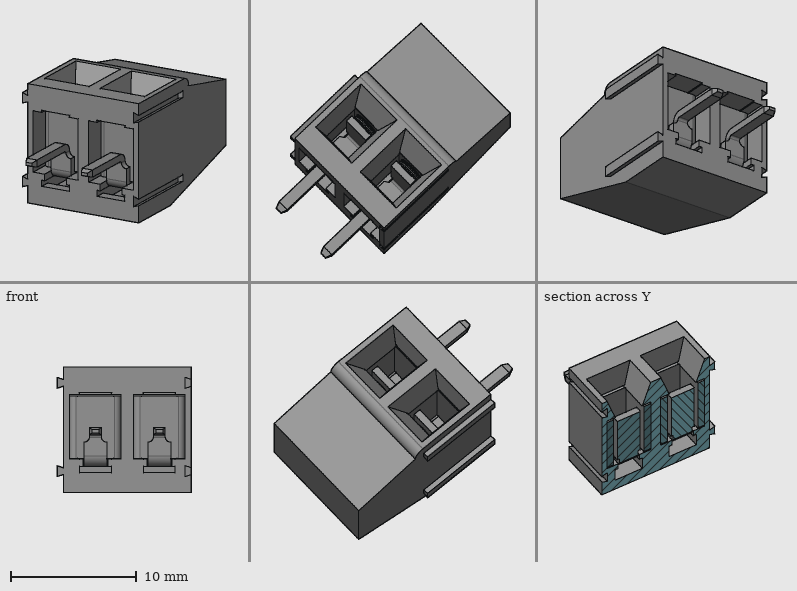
import cadquery as cq


OVERALL_DEPTH = 18.28

POLE_PITCH = 5.08
POLE_COUNT = 2
HOUSING_WIDTH = POLE_COUNT * POLE_PITCH
HOUSING_DEPTH = 14.0
HOUSING_HEIGHT = 10.0
BACK_BOTTOM_Z = 2.49
BACK_TOP_Z = 8.0
UNDERSIDE_FLAT_DEPTH = 5.06
BROW_RADIUS = 0.8
BROW_BACK_Y = 8.0

DOVETAIL_DEPTH = 0.5
DOVETAIL_LENGTH = 7.13
DOVETAIL_OUTER_HEIGHT = 0.88
DOVETAIL_ROOT_HEIGHT = 0.55
DOVETAIL_HEIGHTS = (1.72, 8.74)

CAGE_WIDTH = 4.1
CAGE_FRONT_Y = 1.59
CAGE_BOTTOM_Z = 2.72
CAGE_TOP_Z = 7.68
CAGE_WALL = 0.62
CAGE_INNER_DEPTH = 3.33
CAGE_EDGE_RADIUS = 0.51
CAGE_DEPTH = CAGE_INNER_DEPTH + 2 * CAGE_WALL
CAGE_BACK_Y = CAGE_FRONT_Y + CAGE_DEPTH

POCKET_FLOOR_Z = 2.67
POCKET_TOP_Z = 7.8
ROOF_GROOVE_DEPTH = 0.16
ROOF_GROOVE_LENGTH = 5.95
ROOF_GROOVE_TOP_Z = POCKET_TOP_Z + ROOF_GROOVE_DEPTH

FUNNEL_TOP_WIDTH = CAGE_WIDTH
FUNNEL_THROAT_WIDTH = 2.49
FUNNEL_TOP_FRONT_Y = 1.83
FUNNEL_TOP_BACK_Y = 6.85
FUNNEL_THROAT_FRONT_Y = 2.21
FUNNEL_THROAT_BACK_Y = 5.45
FUNNEL_SIDE_SLOPE = (FUNNEL_TOP_WIDTH - FUNNEL_THROAT_WIDTH) / (HOUSING_HEIGHT - POCKET_TOP_Z)
ROOF_GROOVE_TOP_WIDTH = FUNNEL_THROAT_WIDTH + FUNNEL_SIDE_SLOPE * ROOF_GROOVE_DEPTH

STRIP_THICKNESS = 0.6
BEND_INNER_RADIUS = 0.2
BEND_OUTER_RADIUS = BEND_INNER_RADIUS + STRIP_THICKNESS
STRIP_WIDTH = 1.83
PLATE_FRONT_Y = 0.86
PLATE_BACK_Y = PLATE_FRONT_Y + STRIP_THICKNESS
SHOULDER_Z = 4.02
LEG_BOTTOM_Z = 2.1
LEG_TOP_Z = LEG_BOTTOM_Z + STRIP_THICKNESS
LEG_PAD_WIDTH = 2.52
LEG_PAD_START_Y = 1.74
LEG_PAD_END_Y = 3.95
LEG_PAD_CORNER_LENGTH = 0.24
CONTACT_WIDTH = 2.2
CONTACT_BACK_Y = 4.92
CONTACT_FRONT_Y = CONTACT_BACK_Y - STRIP_THICKNESS
CONTACT_TOP_Z = 7.31
CONTACT_BOTTOM_Z = 3.1
PIN_WIDTH = 0.93
PIN_TOP_Z = 5.2
PIN_BOTTOM_Z = PIN_TOP_Z - STRIP_THICKNESS
PIN_TIP_Y = HOUSING_DEPTH - OVERALL_DEPTH
PIN_TAPER_LENGTH = 0.5
PIN_TAPER_START_Y = PIN_TIP_Y + PIN_TAPER_LENGTH
PIN_TIP_WIDTH = 0.55
PIN_TIP_THICKNESS = 0.27

NECK_WIDTH = 2.0
CHAMBER_WIDTH = LEG_PAD_WIDTH
CHAMBER_TOP_Z = LEG_BOTTOM_Z
CHAMBER_MOUTH_Z = 1.6
CHAMBER_MOUTH_DEPTH = 0.95
CHAMBER_BOTTOM_Z = 1.02

SCREW_RADIUS = 1.17
SCREW_AXIS_Z = (CAGE_BOTTOM_Z + CAGE_TOP_Z) / 2
THREAD_PITCH = 0.22
THREAD_DEPTH = 0.07
SCREW_LENGTH = CAGE_BACK_Y - CONTACT_BACK_Y


def block(width, y_range, z_range):
    """Box centred on the pole in X, between two Y and two Z positions."""
    y_start, y_end = y_range
    z_start, z_end = z_range
    box = cq.Workplane("XY").box(width, y_end - y_start, z_end - z_start, centered=(True, False, False))
    return box.translate((0, y_start, z_start))


def housing_blank():
    """Side outline swept across the whole width."""
    brow_centre_y = BROW_BACK_Y - BROW_RADIUS
    brow_bottom_z = HOUSING_HEIGHT - BROW_RADIUS
    outline = (
        cq.Workplane("YZ")
        .moveTo(0, 0)
        .lineTo(UNDERSIDE_FLAT_DEPTH, 0)
        .lineTo(HOUSING_DEPTH, BACK_BOTTOM_Z)
        .lineTo(HOUSING_DEPTH, BACK_TOP_Z)
        .lineTo(BROW_BACK_Y, brow_bottom_z)
        .radiusArc((brow_centre_y, HOUSING_HEIGHT), -BROW_RADIUS)
        .lineTo(0, HOUSING_HEIGHT)
        .close()
    )
    return outline.extrude(HOUSING_WIDTH / 2, both=True)


def dovetail(side_x, centre_z):
    """Bar that starts on a side face at side_x and widens toward -X."""
    half_root = DOVETAIL_ROOT_HEIGHT / 2
    half_outer = DOVETAIL_OUTER_HEIGHT / 2
    outer_x = side_x - DOVETAIL_DEPTH
    section = [
        (side_x, centre_z - half_root),
        (side_x, centre_z + half_root),
        (outer_x, centre_z + half_outer),
        (outer_x, centre_z - half_outer),
    ]
    return cq.Workplane("XZ").polyline(section).close().extrude(-DOVETAIL_LENGTH)


def wire_funnel():
    """Tapered wire entry from the top face down to the roof groove."""
    top_depth = FUNNEL_TOP_BACK_Y - FUNNEL_TOP_FRONT_Y
    throat_depth = FUNNEL_THROAT_BACK_Y - FUNNEL_THROAT_FRONT_Y
    top_centre_y = (FUNNEL_TOP_FRONT_Y + FUNNEL_TOP_BACK_Y) / 2
    throat_centre_y = (FUNNEL_THROAT_FRONT_Y + FUNNEL_THROAT_BACK_Y) / 2
    return (
        cq.Workplane("XY", origin=(0, throat_centre_y, ROOF_GROOVE_TOP_Z))
        .rect(ROOF_GROOVE_TOP_WIDTH, throat_depth)
        .workplane(offset=HOUSING_HEIGHT - ROOF_GROOVE_TOP_Z)
        .center(0, top_centre_y - throat_centre_y)
        .rect(FUNNEL_TOP_WIDTH, top_depth)
        .loft(ruled=True)
    )


def roof_groove():
    """Shallow groove in the pocket roof that carries on the side walls of the funnel to the front."""
    half_top = ROOF_GROOVE_TOP_WIDTH / 2
    half_bottom = FUNNEL_THROAT_WIDTH / 2
    section = [
        (-half_bottom, POCKET_TOP_Z),
        (-half_top, ROOF_GROOVE_TOP_Z),
        (half_top, ROOF_GROOVE_TOP_Z),
        (half_bottom, POCKET_TOP_Z),
    ]
    return cq.Workplane("XZ").polyline(section).close().extrude(-ROOF_GROOVE_LENGTH)


def leg_pad():
    """Wide middle of the leg, with sloped corners down to the strip width."""
    half_strip = STRIP_WIDTH / 2
    half_pad = LEG_PAD_WIDTH / 2
    front_y = LEG_PAD_START_Y + LEG_PAD_CORNER_LENGTH
    back_y = LEG_PAD_END_Y - LEG_PAD_CORNER_LENGTH
    right = [
        (half_strip, LEG_PAD_START_Y),
        (half_pad, front_y),
        (half_pad, back_y),
        (half_strip, LEG_PAD_END_Y),
    ]
    left = [(-x, y) for x, y in reversed(right)]
    pad = cq.Workplane("XY", origin=(0, 0, LEG_BOTTOM_Z)).polyline(right + left).close()
    return pad.extrude(STRIP_THICKNESS)


def leg_channel():
    """Slot for the leg, its wide recess and the stepped chamber under it."""
    neck = block(NECK_WIDTH, (0, CONTACT_BACK_Y), (CHAMBER_TOP_Z, POCKET_FLOOR_Z))
    mouth = block(CHAMBER_WIDTH, (0, CHAMBER_MOUTH_DEPTH), (CHAMBER_MOUTH_Z, CHAMBER_TOP_Z))
    chamber = block(CHAMBER_WIDTH, (CHAMBER_MOUTH_DEPTH, CONTACT_BACK_Y), (CHAMBER_BOTTOM_Z, CHAMBER_TOP_Z))
    return neck.union(mouth).union(chamber).union(leg_pad())


def pole_cavity():
    """Everything removed from the housing for one pole."""
    pocket = block(CAGE_WIDTH, (0, CAGE_BACK_Y), (POCKET_FLOOR_Z, POCKET_TOP_Z))
    return pocket.union(roof_groove()).union(wire_funnel()).union(leg_channel())


def make_housing(pole_positions):
    housing = housing_blank()
    for height in DOVETAIL_HEIGHTS:
        housing = housing.union(dovetail(-HOUSING_WIDTH / 2, height))
        housing = housing.cut(dovetail(HOUSING_WIDTH / 2, height))
    cavity = pole_cavity()
    for x in pole_positions:
        housing = housing.cut(cavity.translate((x, 0, 0)))
    return housing


def screw_blank():
    axis_plane = cq.Workplane("XZ", origin=(0, CONTACT_BACK_Y, SCREW_AXIS_Z))
    return axis_plane.circle(SCREW_RADIUS).extrude(-SCREW_LENGTH)


def make_cage():
    """Open-ended rectangular tube with a screw hole in its back wall."""
    inner_width = CAGE_WIDTH - 2 * CAGE_WALL
    inner_y = (CAGE_FRONT_Y + CAGE_WALL, CAGE_BACK_Y - CAGE_WALL)
    height = (CAGE_BOTTOM_Z, CAGE_TOP_Z)
    tube = block(CAGE_WIDTH, (CAGE_FRONT_Y, CAGE_BACK_Y), height).edges("|Z").fillet(CAGE_EDGE_RADIUS)
    return tube.cut(block(inner_width, inner_y, height)).cut(screw_blank())


def make_screw():
    """Threaded shank, the thread shown as a row of V grooves."""
    pitch_count = int(SCREW_LENGTH / THREAD_PITCH)
    root_radius = SCREW_RADIUS - THREAD_DEPTH
    profile = cq.Workplane("XY").moveTo(0, 0).lineTo(SCREW_RADIUS, 0)
    for turn in range(pitch_count):
        start = turn * THREAD_PITCH
        profile = profile.lineTo(root_radius, start + THREAD_PITCH / 2)
        profile = profile.lineTo(SCREW_RADIUS, start + THREAD_PITCH)
    profile = profile.lineTo(SCREW_RADIUS, SCREW_LENGTH).lineTo(0, SCREW_LENGTH).close()
    shank = profile.revolve(360, (0, 0), (0, 1))
    return shank.translate((0, CONTACT_BACK_Y, SCREW_AXIS_Z))


def bent_strip():
    """Side profile of the bent strip, swept to the greatest width it has anywhere."""
    outer = BEND_OUTER_RADIUS
    inner = BEND_INNER_RADIUS
    profile = (
        cq.Workplane("YZ")
        .moveTo(PIN_TAPER_START_Y, PIN_TOP_Z)
        .lineTo(PLATE_BACK_Y - outer, PIN_TOP_Z)
        .radiusArc((PLATE_BACK_Y, PIN_TOP_Z - outer), outer)
        .lineTo(PLATE_BACK_Y, LEG_TOP_Z + inner)
        .radiusArc((PLATE_BACK_Y + inner, LEG_TOP_Z), -inner)
        .lineTo(CONTACT_FRONT_Y - inner, LEG_TOP_Z)
        .radiusArc((CONTACT_FRONT_Y, LEG_TOP_Z + inner), -inner)
        .lineTo(CONTACT_FRONT_Y, CONTACT_TOP_Z)
        .lineTo(CONTACT_BACK_Y, CONTACT_TOP_Z)
        .lineTo(CONTACT_BACK_Y, LEG_BOTTOM_Z + outer)
        .radiusArc((CONTACT_BACK_Y - outer, LEG_BOTTOM_Z), outer)
        .lineTo(PLATE_FRONT_Y + outer, LEG_BOTTOM_Z)
        .radiusArc((PLATE_FRONT_Y, LEG_BOTTOM_Z + outer), outer)
        .lineTo(PLATE_FRONT_Y, PIN_BOTTOM_Z - inner)
        .radiusArc((PLATE_FRONT_Y - inner, PIN_BOTTOM_Z), -inner)
        .lineTo(PIN_TAPER_START_Y, PIN_BOTTOM_Z)
        .close()
    )
    return profile.extrude(LEG_PAD_WIDTH / 2, both=True)


def front_outline():
    """Front plate below, narrow pin above, joined by concave round shoulders."""
    half_plate = STRIP_WIDTH / 2
    half_pin = PIN_WIDTH / 2
    shoulder_radius = half_plate - half_pin
    outline = (
        cq.Workplane("XZ", origin=(0, PIN_TAPER_START_Y, 0))
        .moveTo(-half_plate, LEG_BOTTOM_Z)
        .lineTo(half_plate, LEG_BOTTOM_Z)
        .lineTo(half_plate, SHOULDER_Z)
        .radiusArc((half_pin, SHOULDER_Z + shoulder_radius), shoulder_radius)
        .lineTo(half_pin, PIN_TOP_Z)
        .lineTo(-half_pin, PIN_TOP_Z)
        .lineTo(-half_pin, SHOULDER_Z + shoulder_radius)
        .radiusArc((-half_plate, SHOULDER_Z), shoulder_radius)
        .close()
    )
    return outline.extrude(PIN_TAPER_START_Y - PLATE_BACK_Y)


def pin_tip():
    """Tapered end of the solder pin."""
    centre_z = (PIN_TOP_Z + PIN_BOTTOM_Z) / 2
    return (
        cq.Workplane("XZ", origin=(0, PIN_TAPER_START_Y, centre_z))
        .rect(PIN_WIDTH, STRIP_THICKNESS)
        .workplane(offset=PIN_TAPER_LENGTH)
        .rect(PIN_TIP_WIDTH, PIN_TIP_THICKNESS)
        .loft(ruled=True)
    )


def make_terminal():
    leg = block(STRIP_WIDTH, (PLATE_BACK_Y, CONTACT_BACK_Y), (LEG_BOTTOM_Z, CONTACT_BOTTOM_Z))
    contact_plate = block(CONTACT_WIDTH, (CONTACT_FRONT_Y, CONTACT_BACK_Y), (CONTACT_BOTTOM_Z, CONTACT_TOP_Z))
    widths = front_outline().union(leg).union(leg_pad()).union(contact_plate)
    return bent_strip().intersect(widths).union(pin_tip())


pole_positions = [(pole - (POLE_COUNT - 1) / 2) * POLE_PITCH for pole in range(POLE_COUNT)]

housing = make_housing(pole_positions)
bodies = [housing.solids().val()]
for make_body in (make_cage, make_terminal, make_screw):
    body = make_body()
    for x in pole_positions:
        bodies.append(body.translate((x, 0, 0)).solids().val())

result = cq.Compound.makeCompound(bodies)